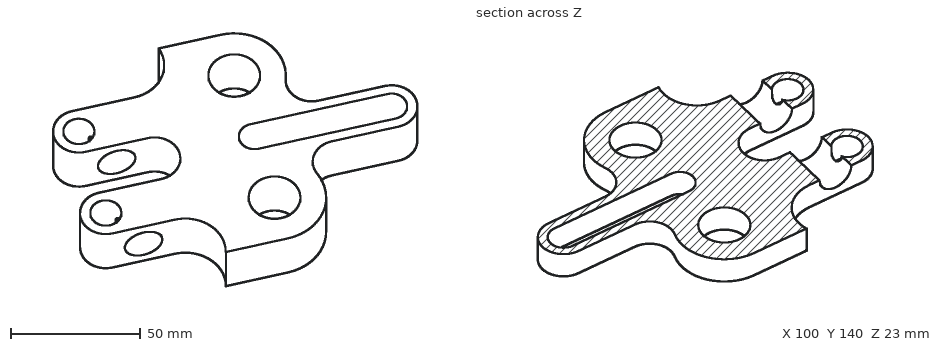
import cadquery as cq
import math

length = 140.0
width = 100.0
thickness = 23.0
arm_width = 20.0
lobe_radius = 20.0
lobe_hole_diameter = 20.0
slot_width = 12.0
leg_hole_diameter = 12.0
cross_hole_diameter = 15.0
scoop_radius = 15.7
tab_end_y = 55.0
leg_root_y = -40.0

arm_radius = arm_width / 2
half_width = width / 2
lobe_x = half_width - lobe_radius
leg_x = arm_width
leg_inner_x = leg_x - arm_radius
leg_outer_x = leg_x + arm_radius
leg_end_y = tab_end_y + arm_radius - length + arm_radius
cross_hole_y = (leg_root_y + leg_end_y) / 2

fillet_radius = arm_radius
fillet_x = arm_radius + fillet_radius
fillet_to_lobe = fillet_radius + lobe_radius
fillet_y = math.sqrt(fillet_to_lobe**2 - (lobe_x - fillet_x) ** 2)
fillet_end_angle = math.atan2(-fillet_y, lobe_x - fillet_x)
lobe_start_angle = fillet_end_angle + math.pi

scoop_x = leg_outer_x + scoop_radius
scoop_start_angle = math.acos((half_width - scoop_x) / scoop_radius)


def on_circle(x, y, radius, angle):
    return (x + radius * math.cos(angle), y + radius * math.sin(angle))


def arc(path, x, y, radius, start, end):
    """Extend the path along a circle between two angles."""
    middle = on_circle(x, y, radius, (start + end) / 2)
    return path.threePointArc(middle, on_circle(x, y, radius, end))


def half_body():
    """Solid on the +X side of the symmetry plane."""
    path = cq.Workplane("XY").moveTo(0, tab_end_y + arm_radius)
    path = arc(path, 0, tab_end_y, arm_radius, math.pi / 2, 0)
    path = path.lineTo(arm_radius, fillet_y)
    path = arc(path, fillet_x, fillet_y, fillet_radius, -math.pi, fillet_end_angle)
    path = arc(path, lobe_x, 0, lobe_radius, lobe_start_angle, 0)
    path = path.lineTo(*on_circle(scoop_x, leg_root_y, scoop_radius, scoop_start_angle))
    path = arc(path, scoop_x, leg_root_y, scoop_radius, scoop_start_angle, math.pi)
    path = path.lineTo(leg_outer_x, leg_end_y)
    path = arc(path, leg_x, leg_end_y, arm_radius, 0, -math.pi)
    path = path.lineTo(leg_inner_x, leg_root_y)
    path = arc(path, 0, leg_root_y, arm_radius, 0, math.pi / 2)
    return path.close().extrude(thickness)


def vertical_holes(x, y, diameter):
    """Mirrored pair of through-hole cutters."""
    return cq.Workplane("XY").pushPoints([(-x, y), (x, y)]).circle(diameter / 2).extrude(thickness)


def tab_slot():
    """Slot from the tab end centre to the line of the large holes."""
    return (
        cq.Workplane("XY")
        .center(0, tab_end_y / 2)
        .slot2D(tab_end_y + slot_width, slot_width, 90)
        .extrude(thickness)
    )


def cross_hole():
    """Cutter running along X through both legs."""
    return (
        cq.Workplane("YZ")
        .center(cross_hole_y, thickness / 2)
        .circle(cross_hole_diameter / 2)
        .extrude(half_width, both=True)
    )


right_half = half_body()
body = right_half.union(right_half.mirror("YZ"))
result = (
    body.cut(vertical_holes(lobe_x, 0, lobe_hole_diameter))
    .cut(vertical_holes(leg_x, leg_end_y, leg_hole_diameter))
    .cut(tab_slot())
    .cut(cross_hole())
    .clean()
)